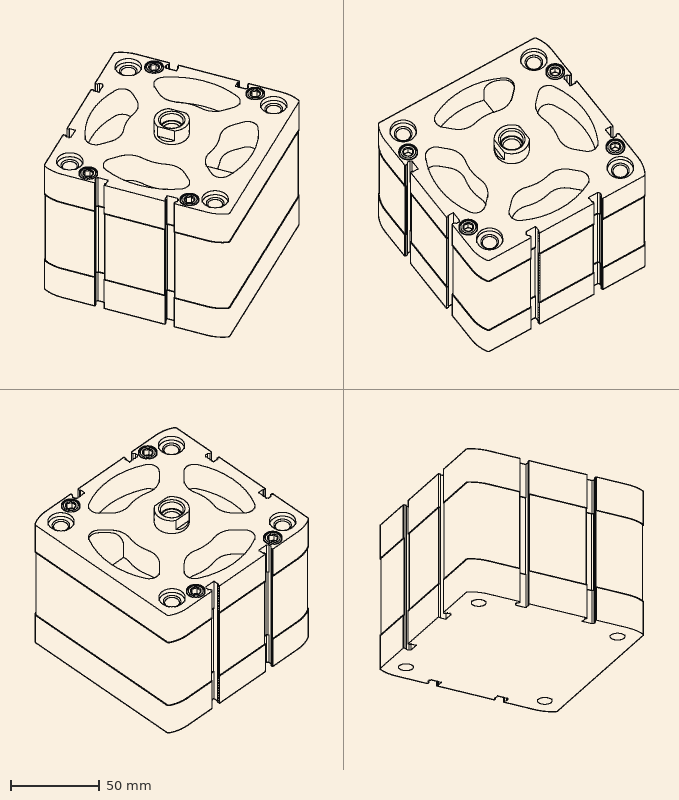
import cadquery as cq
import math

SIDE = 113.5
HOUSING_HEIGHT = 91.8
CAP_HEIGHT = 21.3
BARREL_INSET = 0.5
CORNER_ARC_RADIUS = 23.8
CORNER_ARC_START = 44.5
CORNER_EDGE_RADIUS = 1.8

SLOT_INNER = 18.6
SLOT_OUTER = 24.2
SLOT_DEPTH = 5.0
SLOT_LIP = 1.5
SLOT_INNER_UNDERCUT = 0.6
SLOT_OUTER_UNDERCUT = 1.0
SLOT_FLOOR_CHAMFER = 0.9
SLOT_MOUTH_CHAMFER = 0.3
BARREL_MOUTH_CHAMFER = 0.5

POCKET_OUTER_RADIUS = 49.3
HUB_RADIUS = 27.5
WEB_WIDTH = 14.0
POCKET_END_FILLET = 6.0
POCKET_HUB_FILLET = 12.5
POCKET_DEPTH = 19.0

BOSS_START_X = 22.7
BOSS_END_Y = -28.4
BOSS_AXIS_Y = -20.1
BOSS_TOP_DEPTH = 2.0
BOSS_ROUND_RADIUS = 7.5

MOUNT_OFFSET = 44.5
MOUNT_DIAMETER = 8.4
MOUNT_CHAMFER_DIAMETER = 10.0
MOUNT_COUNTERBORE_DIAMETER = 15.0
MOUNT_COUNTERBORE_DEPTH = 3.0

SCREW_X = 31.0
SCREW_Y = 50.0
SCREW_HOLE_DIAMETER = 10.7
SCREW_HEAD_DIAMETER = 10.1
SCREW_HEAD_TOP_DIAMETER = 8.5
SOCKET_MOUTH_DIAMETER = 6.1
SOCKET_FLATS = 5.0
SOCKET_DEPTH = 4.5
SOCKET_POINT_ANGLE = 140.0

ROD_DIAMETER = 20.0
ROD_PROJECTION = 10.0
ROD_FLATS = 17.0
FLAT_LENGTH = 7.2
FLAT_RUNOUT_ANGLE = 30.0
ROD_MOUTH_DIAMETER = 15.0
ROD_RECESS_DIAMETER = 13.0
ROD_RECESS_DEPTH = 6.0
THREAD_MOUTH_DIAMETER = 12.0
THREAD_DIAMETER = 10.1
THREAD_DEPTH = 22.7
THREAD_POINT_ANGLE = 118.0

HALF = SIDE / 2
ROD_TOP = HOUSING_HEIGHT + ROD_PROJECTION
ROD_BOTTOM = HOUSING_HEIGHT - CAP_HEIGHT
BARREL_HEIGHT = HOUSING_HEIGHT - 2 * CAP_HEIGHT
POCKET_FLOOR = HOUSING_HEIGHT - POCKET_DEPTH
TOLERANCE = 0.001


def drill_point_depth(diameter, point_angle):
    return diameter / 2 / math.tan(math.radians(point_angle / 2))


def turned(points):
    """Solid of revolution about Z from (radius, height) points."""
    return cq.Workplane("XZ").polyline(points).close().revolve(360, (0, 0, 0), (0, 1, 0))


def corner_points(half, arc_radius, edge_radius):
    """Points of the +X +Y corner, from the Y face round to the X face."""
    arc_centre_y = half - arc_radius
    edge_centre_x = half - edge_radius
    offset_x = edge_centre_x - CORNER_ARC_START
    offset_y = math.sqrt((arc_radius - edge_radius) ** 2 - offset_x ** 2)
    edge_centre_y = arc_centre_y + offset_y
    tangent_angle = math.atan2(offset_y, offset_x)

    def on_arc(angle):
        return (CORNER_ARC_START + arc_radius * math.cos(angle), arc_centre_y + arc_radius * math.sin(angle))

    def on_edge(angle):
        return (edge_centre_x + edge_radius * math.cos(angle), edge_centre_y + edge_radius * math.sin(angle))

    return [
        on_arc(math.pi / 2),
        on_arc((math.pi / 2 + tangent_angle) / 2),
        on_arc(tangent_angle),
        on_edge(tangent_angle / 2),
        on_edge(0),
    ]


def block(inset, bottom, height):
    """Prism of the square outline, drawn in by `inset` on every side."""
    corner = corner_points(HALF - inset, CORNER_ARC_RADIUS - inset, CORNER_EDGE_RADIUS - inset)
    flipped = corner[::-1]
    path = (
        corner,
        [(x, -y) for x, y in flipped],
        [(-x, -y) for x, y in corner],
        [(-x, y) for x, y in flipped],
    )
    outline = cq.Workplane("XY", origin=(0, 0, bottom)).moveTo(*corner[0])
    for index, points in enumerate(path):
        if index > 0:
            outline = outline.lineTo(*points[0])
        outline = outline.threePointArc(points[1], points[2]).threePointArc(points[3], points[4])
    return outline.close().extrude(height)


def slot(face, bottom, height, inner_chamfer):
    """T-slot cutter for the right half of the +Y side, with its mouth at Y = `face`."""
    lip = HALF - SLOT_LIP
    floor = face - SLOT_DEPTH
    inner_wall = SLOT_INNER - SLOT_INNER_UNDERCUT
    outer_wall = SLOT_OUTER + SLOT_OUTER_UNDERCUT
    mouth = [(SLOT_INNER, face)]
    if inner_chamfer > 0:
        mouth = [(SLOT_INNER - inner_chamfer, face), (SLOT_INNER, face - inner_chamfer)]
    points = mouth + [
        (SLOT_INNER, lip),
        (inner_wall, lip),
        (inner_wall, floor),
        (outer_wall - SLOT_FLOOR_CHAMFER, floor),
        (outer_wall, floor + SLOT_FLOOR_CHAMFER),
        (outer_wall, lip - SLOT_OUTER_UNDERCUT),
        (SLOT_OUTER, lip),
        (SLOT_OUTER, face - SLOT_MOUTH_CHAMFER),
        (SLOT_OUTER + SLOT_MOUTH_CHAMFER, face),
    ]
    return cq.Workplane("XY", origin=(0, 0, bottom)).polyline(points).close().extrude(height)


def slotted_level(inset, bottom, height, inner_chamfer):
    """One cap or the barrel, with a pair of T-slots on the +Y, -X and -Y faces."""
    level = block(inset, bottom, height)
    cutter = slot(HALF - inset, bottom, height, inner_chamfer)
    for angle in (0, 90, 180):
        for side in (cutter, cutter.mirror("YZ")):
            level = level.cut(side.rotate((0, 0, 0), (0, 0, 1), angle))
    return level


def slotted_blank():
    """Bottom cap, barrel and top cap in one piece."""
    bottom_cap = slotted_level(0, 0, CAP_HEIGHT, 0)
    barrel = slotted_level(BARREL_INSET, CAP_HEIGHT, BARREL_HEIGHT, BARREL_MOUTH_CHAMFER)
    top_cap = slotted_level(0, CAP_HEIGHT + BARREL_HEIGHT, CAP_HEIGHT, 0)
    return bottom_cap.union(barrel).union(top_cap)


def port_boss():
    """Step on the floor of the +X pocket, rounded along its +Y shoulder."""
    top = HOUSING_HEIGHT - BOSS_TOP_DEPTH
    edge_y = BOSS_AXIS_Y + BOSS_ROUND_RADIUS
    profile = (
        cq.Workplane("YZ", origin=(BOSS_START_X, 0, 0))
        .moveTo(BOSS_END_Y, POCKET_FLOOR)
        .lineTo(edge_y, POCKET_FLOOR)
        .lineTo(edge_y, top - BOSS_ROUND_RADIUS)
        .radiusArc((BOSS_AXIS_Y, top), -BOSS_ROUND_RADIUS)
        .lineTo(BOSS_END_Y, top)
        .close()
    )
    return profile.extrude(HALF - BOSS_START_X)


def corner_edges(ring, radius):
    """Upright edges of the ring segments at the given distance from the Z axis."""
    return ring.edges("|Z").filter(
        lambda edge: abs(math.hypot(edge.Center().x, edge.Center().y) - radius) < TOLERANCE
    )


def pockets():
    """Ring around the hub, split by diagonal webs into four rounded pockets."""
    plane = cq.Workplane("XY", origin=(0, 0, POCKET_FLOOR))
    ring = plane.circle(POCKET_OUTER_RADIUS).circle(HUB_RADIUS).extrude(POCKET_DEPTH)
    for angle in (45, 135):
        web = plane.transformed(rotate=(0, 0, angle)).rect(2 * SIDE, WEB_WIDTH).extrude(POCKET_DEPTH)
        ring = ring.cut(web)
    ring = corner_edges(ring, POCKET_OUTER_RADIUS).fillet(POCKET_END_FILLET)
    ring = corner_edges(ring, HUB_RADIUS).fillet(POCKET_HUB_FILLET)
    return ring.cut(port_boss())


def mount_hole():
    """Through hole with a counterbore and a chamfered shoulder."""
    shoulder = HOUSING_HEIGHT - MOUNT_COUNTERBORE_DEPTH
    radius = MOUNT_DIAMETER / 2
    chamfer_radius = MOUNT_CHAMFER_DIAMETER / 2
    counterbore_radius = MOUNT_COUNTERBORE_DIAMETER / 2
    return turned([
        (0, 0),
        (radius, 0),
        (radius, shoulder - (chamfer_radius - radius)),
        (chamfer_radius, shoulder),
        (counterbore_radius, shoulder),
        (counterbore_radius, HOUSING_HEIGHT),
        (0, HOUSING_HEIGHT),
    ])


def screw_recess():
    """Ring groove around a chamfered screw head, and its countersunk hexagon socket with a drill point."""
    head_radius = SCREW_HEAD_DIAMETER / 2
    head_top_radius = SCREW_HEAD_TOP_DIAMETER / 2
    groove_floor = HOUSING_HEIGHT - (head_radius - head_top_radius)
    groove = turned([
        (head_top_radius, HOUSING_HEIGHT),
        (head_radius, groove_floor),
        (SCREW_HOLE_DIAMETER / 2, groove_floor),
        (SCREW_HOLE_DIAMETER / 2, HOUSING_HEIGHT),
    ])
    socket_floor = HOUSING_HEIGHT - SOCKET_DEPTH
    socket_corners = SOCKET_FLATS / math.cos(math.pi / 6)
    socket = (
        cq.Workplane("XY", origin=(0, 0, socket_floor))
        .transformed(rotate=(0, 0, 30))
        .polygon(6, socket_corners)
        .extrude(SOCKET_DEPTH)
    )
    point = turned([
        (0, socket_floor - drill_point_depth(SOCKET_FLATS, SOCKET_POINT_ANGLE)),
        (SOCKET_FLATS / 2, socket_floor),
        (0, socket_floor),
    ])
    mouth_radius = SOCKET_MOUTH_DIAMETER / 2
    mouth = turned([
        (0, HOUSING_HEIGHT - mouth_radius),
        (mouth_radius, HOUSING_HEIGHT),
        (0, HOUSING_HEIGHT),
    ])
    return groove, socket, mouth, point


def make_housing():
    housing = slotted_blank().cut(pockets())
    for sign_x in (1, -1):
        for sign_y in (1, -1):
            housing = housing.cut(mount_hole().translate((sign_x * MOUNT_OFFSET, sign_y * MOUNT_OFFSET, 0)))
            for recess in screw_recess():
                housing = housing.cut(recess.translate((sign_x * SCREW_X, sign_y * SCREW_Y, 0)))
    rod_bore = cq.Workplane("XY", origin=(0, 0, ROD_BOTTOM)).circle(ROD_DIAMETER / 2)
    return housing.cut(rod_bore.extrude(HOUSING_HEIGHT - ROD_BOTTOM))


def rod_hole():
    """Threaded hole with a recess at its mouth and a drill point at its end."""
    mouth_radius = ROD_MOUTH_DIAMETER / 2
    recess_radius = ROD_RECESS_DIAMETER / 2
    thread_mouth_radius = THREAD_MOUTH_DIAMETER / 2
    thread_radius = THREAD_DIAMETER / 2
    recess_floor = ROD_TOP - ROD_RECESS_DEPTH
    thread_end = ROD_TOP - THREAD_DEPTH
    return turned([
        (0, ROD_TOP),
        (mouth_radius, ROD_TOP),
        (recess_radius, ROD_TOP - (mouth_radius - recess_radius)),
        (recess_radius, recess_floor),
        (thread_mouth_radius, recess_floor),
        (thread_radius, recess_floor - (thread_mouth_radius - thread_radius)),
        (thread_radius, thread_end),
        (0, thread_end - drill_point_depth(THREAD_DIAMETER, THREAD_POINT_ANGLE)),
    ])


def wrench_flat():
    """Cutter for the +Y wrench flat, with a shoulder that slopes down outwards."""
    radius = ROD_DIAMETER / 2
    flat_y = ROD_FLATS / 2
    shoulder = ROD_TOP - FLAT_LENGTH
    drop = (radius - flat_y) * math.tan(math.radians(FLAT_RUNOUT_ANGLE))
    points = [(flat_y, shoulder), (radius, shoulder - drop), (radius, ROD_TOP), (flat_y, ROD_TOP)]
    profile = cq.Workplane("YZ").polyline(points).close()
    return profile.extrude(radius, both=True)


def make_rod():
    rod = cq.Workplane("XY", origin=(0, 0, ROD_BOTTOM)).circle(ROD_DIAMETER / 2).extrude(ROD_TOP - ROD_BOTTOM)
    flat = wrench_flat()
    return rod.cut(flat).cut(flat.mirror("XZ")).cut(rod_hole())


housing = make_housing()
rod = make_rod()
result = cq.Compound.makeCompound([housing.val(), rod.val()])